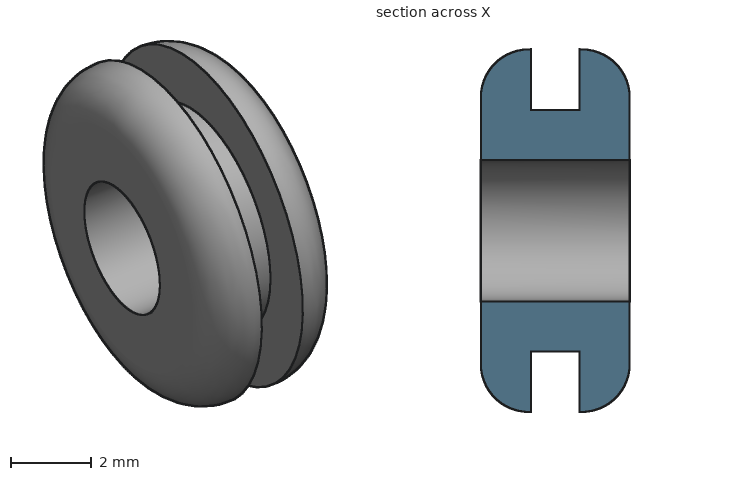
import cadquery as cq

outer_diameter = 9.0
neck_diameter = 6.0
bore_diameter = 3.5
total_width = 3.7
groove_width = 1.2
rim_land = 0.05

outer_radius = outer_diameter / 2
neck_radius = neck_diameter / 2
bore_radius = bore_diameter / 2
half_width = total_width / 2
half_groove = groove_width / 2
rim_radius = half_width - half_groove - rim_land


def make_grommet():
    """Revolve the cross-section, drawn as radius along Z and width along Y, around the Y axis."""
    face_radius = outer_radius - rim_radius
    rim_edge = half_groove + rim_land
    return (
        cq.Workplane("YZ")
        .moveTo(-half_width, bore_radius)
        .lineTo(-half_width, face_radius)
        .radiusArc((-rim_edge, outer_radius), rim_radius)
        .lineTo(-half_groove, outer_radius)
        .lineTo(-half_groove, neck_radius)
        .lineTo(half_groove, neck_radius)
        .lineTo(half_groove, outer_radius)
        .lineTo(rim_edge, outer_radius)
        .radiusArc((half_width, face_radius), rim_radius)
        .lineTo(half_width, bore_radius)
        .close()
        .revolve(360, (0, 0), (1, 0))
    )


result = make_grommet()